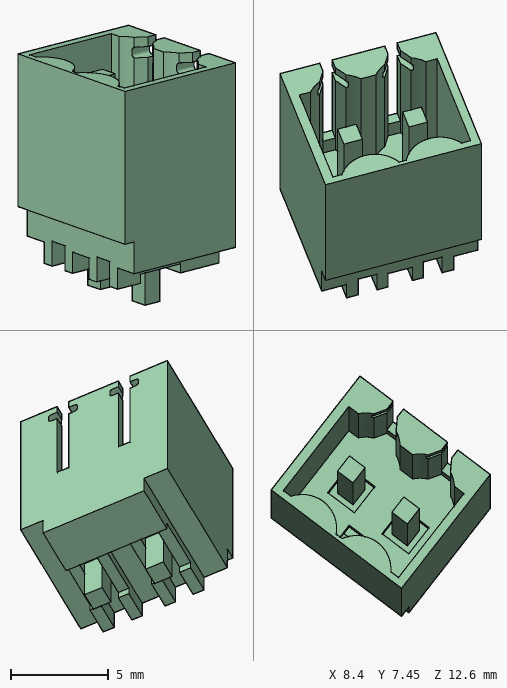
import cadquery as cq
import math


width = 8.4
depth = 7.45
housing_height = 11.05
back_y = depth / 2
front_y = -depth / 2

pitch = 3.5
row_x = 0.03
pole_xs = [row_x - pitch / 2, row_x + pitch / 2]
pin_y = -0.23

pin_side = 1.0
pin_bottom_z = -1.5
pin_top_z = housing_height - 1.18

step_height = 2.85
step_depth = 0.61

feet_width = 5.77
feet_height = 1.14
cross_channel_height = 0.49
cross_channel_back_y = back_y - 2.61
cross_channel_front_y = back_y - 5.31
middle_slot_width = 1.3
pin_slot_height = 1.34

cavity_depth = 7.03
cavity_floor_z = housing_height - cavity_depth
side_wall = 0.49
front_wall = 0.35
front_wall_middle = 0.2
back_wall = 1.61
scallop_radius = 1.76
front_scallop_y = front_y - 0.61
back_scallop_y = back_y - 2.74

coding_slot_width = 0.67
coding_slot_depth = 6.02
back_web = 0.53
flare_width = 1.43
coding_window_width = 1.65
coding_window_height = 0.58
coding_window_radius = 0.18
coding_window_drop = 0.53

pin_recess_side = 1.72
pin_recess_depth = 0.5
key_recess_width = 1.42
key_recess_back_y = back_y - 5.48
key_recess_length = 0.84
key_recess_flat = 0.44
key_recess_depth = 0.5


def box(x_range, y_range, z_range):
    """An upright box between the given limits."""
    (x0, x1), (y0, y1), (z0, z1) = x_range, y_range, z_range
    return cq.Workplane("XY").box(x1 - x0, y1 - y0, z1 - z0, centered=False).translate((x0, y0, z0))


def centred(size, middle=row_x):
    """Limits of a feature of the given size, on the middle of the pole row unless told otherwise."""
    return (middle - size / 2, middle + size / 2)


def housing_block():
    """Outer block with the front step and the bar from which the feet are cut."""
    block = box(centred(width, 0), (front_y, back_y), (feet_height, housing_height))
    step = box(centred(width, 0), (front_y, front_y + step_depth), (0, step_height))
    feet_bar = box(centred(feet_width), (front_y + step_depth, back_y), (0, feet_height))
    return block.cut(step).union(feet_bar)


def cut_feet(body):
    """Cross channel under the bar, and slots from the front up to the rear bar."""
    slot_ys = (front_y, cross_channel_back_y)
    channel_ys = (cross_channel_front_y, cross_channel_back_y)
    body = body.cut(box(centred(feet_width), channel_ys, (0, cross_channel_height)))
    body = body.cut(box(centred(middle_slot_width), slot_ys, (0, feet_height)))
    for x in pole_xs:
        body = body.cut(box(centred(pin_side, x), slot_ys, (0, pin_slot_height)))
    return body


def back_scallop(x):
    """Channel in the back wall: round at the cavity and flared down to the coding slot."""
    half_flare = flare_width / 2
    flare_y = back_scallop_y + math.sqrt(scallop_radius**2 - half_flare**2)
    round_part = cq.Workplane("XY").center(x, back_scallop_y).circle(scallop_radius).extrude(cavity_depth)
    flare = (
        cq.Workplane("XY")
        .polyline([
            (x - half_flare, back_scallop_y),
            (x - half_flare, flare_y),
            (x - coding_slot_width / 2, back_y - back_web),
            (x + coding_slot_width / 2, back_y - back_web),
            (x + half_flare, flare_y),
            (x + half_flare, back_scallop_y),
        ])
        .close()
        .extrude(cavity_depth)
    )
    above_flare = box(centred(width, 0), (flare_y, back_y), (0, cavity_depth))
    return round_part.cut(above_flare).union(flare)


def plug_cavity():
    """Space for the plug: a rectangle with round ribs in front and round channels behind."""
    inner_y = (front_y + front_wall, back_y - back_wall)
    cavity = box(centred(width - 2 * side_wall), inner_y, (0, cavity_depth))
    cavity = cavity.union(box(centred(pitch), (front_y + front_wall_middle, inner_y[1]), (0, cavity_depth)))
    for x in pole_xs:
        rib = cq.Workplane("XY").center(x, front_scallop_y).circle(scallop_radius).extrude(cavity_depth)
        cavity = cavity.cut(rib).union(back_scallop(x))
    return cavity.translate((0, 0, cavity_floor_z))


def coding_slot(x):
    """Vertical slot through the back wall, crossed by a window with rounded corners."""
    slot = box(
        centred(coding_slot_width, x),
        (back_y - back_web, back_y),
        (housing_height - coding_slot_depth, housing_height),
    )
    window_z = housing_height - coding_window_drop - coding_window_height / 2
    window = (
        cq.Workplane("XZ", origin=(x, back_y, window_z))
        .rect(coding_window_width, coding_window_height)
        .extrude(back_wall)
        .edges("|Y")
        .fillet(coding_window_radius)
    )
    return slot.union(window)


def pin_recess(x):
    """Square recess in the cavity floor around a pin."""
    return box(
        centred(pin_recess_side, x),
        centred(pin_recess_side, pin_y),
        (cavity_floor_z - pin_recess_depth, cavity_floor_z),
    )


def key_recess():
    """Recess in the cavity floor with a flat bottom at the back and a slope up to the front."""
    bottom_z = cavity_floor_z - key_recess_depth
    return (
        cq.Workplane("YZ", origin=(row_x - key_recess_width / 2, 0, 0))
        .polyline([
            (key_recess_back_y, cavity_floor_z),
            (key_recess_back_y, bottom_z),
            (key_recess_back_y - key_recess_flat, bottom_z),
            (key_recess_back_y - key_recess_length, cavity_floor_z),
        ])
        .close()
        .extrude(key_recess_width)
    )


def pin(x):
    """Straight square contact pin."""
    return box(centred(pin_side, x), centred(pin_side, pin_y), (pin_bottom_z, pin_top_z))


pins = [pin(x) for x in pole_xs]

housing = cut_feet(housing_block()).cut(plug_cavity()).cut(key_recess())
for x in pole_xs:
    housing = housing.cut(coding_slot(x)).cut(pin_recess(x))
for contact in pins:
    housing = housing.cut(contact)

result = cq.Compound.makeCompound([housing.val(), *[contact.val() for contact in pins]])